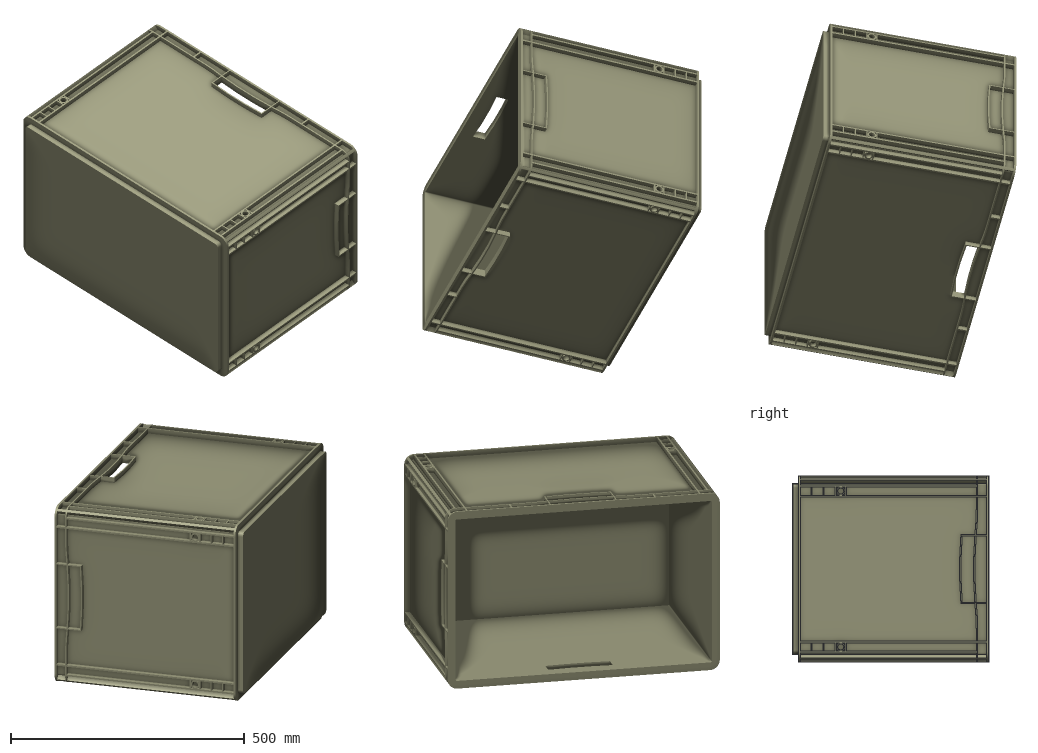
import cadquery as cq
import math

length = 598.0
height = 398.0
depth = 420.0
foot_height = 12.0
foot_length = 564.5
foot_width = 366.0
foot_radius = 9.0
corner_radius = 21.5

rib_depth = 11.5
wall = 6.0
rim = 4.5
floor_thickness = foot_height + wall

rib = 3.5
thin_rib = 2.5
arched_rib = 3.0
post_rib_inset = 20.0
ladder_rib_inset = 41.0
grip_rib_drop = 24.0
cross_rib_drops = (352.0, 378.0)
long_wall_rib = 158.0
corner_rib = 6.0

socket_drop = 317.0
socket_outer = 19.0
socket_bore = 13.0
socket_half_length = 12.0

handle_half_width = 73.5
handle_drop = 60.0
handle_arc_radius = 957.0
grip_arc_end = 87.5
grip_half_width = 127.5

open_end = depth / 2
base_end = open_end - (depth - foot_height)
grip_y = open_end - grip_rib_drop
frame_y = open_end - handle_drop
frame_top = frame_y + arched_rib
frame_sag = handle_arc_radius - math.sqrt(handle_arc_radius**2 - handle_half_width**2)


def rounded_block(size_x, size_z, radius, y_low, y_high):
    """Block along Y with its four long edges rounded."""
    block = cq.Workplane("XY").box(size_x, y_high - y_low, size_z)
    return block.edges("|Y").fillet(radius).translate((0, (y_low + y_high) / 2, 0))


def bar(u_low, u_high, y_low, y_high, thickness=rib_depth):
    """Rectangular bar standing on the XY plane."""
    size = (u_high - u_low, y_high - y_low, thickness)
    corner = (u_low, y_low, 0)
    return cq.Workplane("XY").box(*size, centered=False).translate(corner)


def arc_drop(u, radius=handle_arc_radius):
    """Fall of an arc at distance u from its crest."""
    return radius - math.sqrt(radius**2 - u**2)


def frame_bar():
    """Lower side of the handle frame, bulging towards the base."""
    return (
        cq.Workplane("XY")
        .moveTo(-handle_half_width, frame_top)
        .threePointArc((0, frame_top - frame_sag), (handle_half_width, frame_top))
        .lineTo(handle_half_width, frame_y)
        .threePointArc((0, frame_y - frame_sag), (-handle_half_width, frame_y))
        .close()
        .extrude(rib_depth)
    )


def grip_edge(y):
    """Points from +u to -u along the grip bulge: a concave, a convex and a concave arc."""
    run_out = grip_half_width - grip_arc_end
    run_out_radius = handle_arc_radius * run_out / grip_arc_end
    bend = run_out / 2
    end_drop = arc_drop(run_out, run_out_radius)
    crest = y - end_drop - arc_drop(grip_arc_end)
    half = [
        (grip_half_width, y),
        (grip_half_width - bend, y - arc_drop(bend, run_out_radius)),
        (grip_arc_end, y - end_drop),
    ]
    return half + [(0, crest)] + [(-u, v) for u, v in reversed(half)]


def add_arcs(outline, points):
    """Continue an outline through pairs of a middle point and an end point."""
    for middle, end in zip(points[1::2], points[2::2]):
        outline = outline.threePointArc(middle, end)
    return outline


def grip_bar():
    """Bulging middle part of the grip rib."""
    upper = grip_edge(grip_y)
    lower = grip_edge(grip_y - arched_rib)[::-1]
    outline = add_arcs(cq.Workplane("XY").moveTo(*upper[0]), upper)
    outline = add_arcs(outline.lineTo(*lower[0]), lower)
    return outline.close().extrude(rib_depth)


def hand_hole():
    """Clear space between grip rib and handle frame, running through the whole height."""
    grip_underside = grip_edge(grip_y - arched_rib)
    below_grip = add_arcs(cq.Workplane("XY").moveTo(*grip_underside[0]), grip_underside)
    below_grip = below_grip.lineTo(-grip_half_width, base_end).lineTo(grip_half_width, base_end)
    below_grip = below_grip.close().extrude(height)
    above_frame = (
        cq.Workplane("XY")
        .moveTo(-handle_half_width, open_end)
        .lineTo(-handle_half_width, frame_top)
        .threePointArc((0, frame_top - frame_sag), (handle_half_width, frame_top))
        .lineTo(handle_half_width, open_end)
        .close()
        .extrude(height)
    )
    inner_half_width = handle_half_width - thin_rib
    between_sides = bar(-inner_half_width, inner_half_width, base_end, open_end, height)
    opening = below_grip.intersect(above_frame).intersect(between_sides)
    return opening.translate((0, 0, -height / 2))


def ladder(half_width):
    """Two long ribs, cross ribs and socket beside the +u corner of a wall."""
    outer_u = half_width - post_rib_inset
    inner_u = half_width - ladder_rib_inset
    middle_u = (outer_u + inner_u - rib) / 2
    socket_y = open_end - socket_drop
    ribs = bar(outer_u - rib, outer_u, base_end, grip_y)
    ribs = ribs.union(bar(inner_u - rib, inner_u, base_end, open_end))
    for drop in cross_rib_drops:
        y = open_end - drop
        ribs = ribs.union(bar(inner_u, outer_u - rib, y - thin_rib, y))
    for y in (socket_y + socket_half_length - thin_rib, socket_y - socket_half_length):
        ribs = ribs.union(bar(inner_u, outer_u - rib, y, y + thin_rib))
    ring = (
        cq.Workplane("XY")
        .center(middle_u, socket_y)
        .circle(socket_outer / 2)
        .circle(socket_bore / 2)
        .extrude(rib_depth)
    )
    return ribs.union(ring)


def wall_ribs(width, rim_rib_positions):
    """Rib pattern of one wall, standing on the XY plane and centred on u = 0."""
    half_width = width / 2
    ribs = grip_bar()
    for u_low, u_high in ((-half_width, -grip_half_width), (grip_half_width, half_width)):
        ribs = ribs.union(bar(u_low, u_high, grip_y - arched_rib, grip_y))
    for u in rim_rib_positions:
        ribs = ribs.union(bar(u - rib / 2, u + rib / 2, grip_y - thin_rib, open_end))
    frame = frame_bar()
    for u in (-handle_half_width, handle_half_width - thin_rib):
        frame = frame.union(bar(u, u + thin_rib, frame_y, open_end))
    side = ladder(half_width)
    return ribs.union(frame).union(side).union(side.mirror("YZ"))


def corner_ribs():
    """Ribs along Y on the four corners, pointing out along the diagonals."""
    ribs = cq.Workplane("XY")
    reach = 2 * corner_radius
    for side_x in (-1, 1):
        for side_z in (-1, 1):
            post = cq.Workplane("XY").box(reach, open_end - base_end, corner_rib)
            post = post.rotate((0, 0, 0), (0, 1, 0), -45 * side_x * side_z)
            x = side_x * (length / 2 - corner_radius)
            z = side_z * (height / 2 - corner_radius)
            ribs = ribs.union(post.translate((x, (base_end + open_end) / 2, z)))
    return ribs


panel_length = length - 2 * rib_depth
panel_height = height - 2 * rib_depth
panel_radius = post_rib_inset - rib_depth
envelope = rounded_block(length, height, corner_radius, base_end, open_end)
body = rounded_block(panel_length, panel_height, panel_radius, base_end, open_end)
for rim_low in (base_end, open_end - rim):
    body = body.union(rounded_block(length, height, corner_radius, rim_low, rim_low + rim))

long_ribs = wall_ribs(length, (-long_wall_rib, long_wall_rib)).translate((0, 0, panel_height / 2))
short_ribs = wall_ribs(height, ()).translate((0, 0, panel_length / 2))
short_ribs = short_ribs.rotate((0, 0, 0), (0, 1, 0), -90)
ribs = long_ribs.union(long_ribs.mirror("XY"))
ribs = ribs.union(short_ribs).union(short_ribs.mirror("YZ")).union(corner_ribs())
body = body.union(ribs.intersect(envelope))

body = body.union(rounded_block(foot_length, foot_width, foot_radius, -depth / 2, base_end))

cavity = rounded_block(
    panel_length - 2 * wall,
    panel_height - 2 * wall,
    panel_radius - wall,
    floor_thickness - depth / 2,
    open_end,
)
body = body.cut(cavity)

result = body.cut(hand_hole())